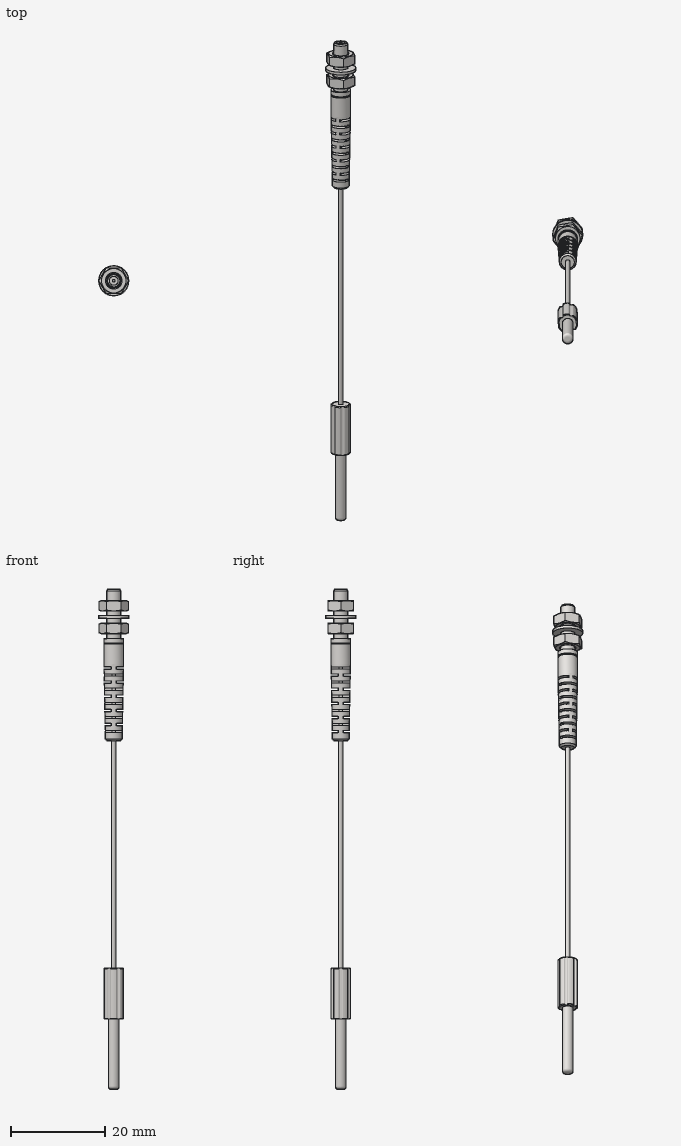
import cadquery as cq
import math

thread_length = 10.5
grip_length = 21.7
cable_length = 48.2
sleeve_length = 10.9
total_length = 106.2

grip_top = -thread_length
grip_bottom = grip_top - grip_length
sleeve_top = grip_bottom - cable_length
sleeve_bottom = sleeve_top - sleeve_length
plug_bottom = -total_length

thread_diameter = 3.0
tip_chamfer_height = 0.35
tip_chamfer_inset = 0.2
lens_diameter = 1.9
lens_recess = 0.1
fibre_diameter = 0.5
fibre_depth = 0.5

grip_diameter = 4.2
relief_start = 5.5
relief_end_diameter = 3.6
relief_end_chamfer = 0.4
ring_groove_start = 0.95
ring_groove_width = 0.25
ring_groove_depth = 0.1
cutter_diameter = grip_diameter + 1

slot_count = 10
slot_pitch = 1.5
slot_width = 0.46
first_slot_start = 6.25
slot_core_diameter = 1.2
web_width = 0.9

cable_diameter = 1.0
sleeve_diameter = 4.2
sleeve_chamfer = 0.2
flute_count = 6
flute_diameter = 0.7
rib_edge_radius = 0.25
plug_diameter = 2.3
plug_end_radius = 0.6

nut_across_flats = 5.5
nut_across_corners = nut_across_flats / math.cos(math.pi / 6)
nut_height = 2.3
nut_face_diameter = 5.2
nut_chamfer_angle = math.radians(25)
nut_countersink_diameter = 3.5
nut_tops = (-2.4, -7.2)
washer_diameter = 6.4
washer_thickness = 0.6
washer_top = -5.6


def cylinder(diameter, top, bottom):
    return cq.Workplane("XY").workplane(offset=bottom).circle(diameter / 2).extrude(top - bottom)


def make_barrel():
    barrel = cylinder(thread_diameter, 0, grip_top)
    barrel = barrel.faces(">Z").chamfer(tip_chamfer_height, tip_chamfer_inset)
    lens = cylinder(lens_diameter, 0, -lens_recess)
    fibre = cylinder(fibre_diameter, 0, -fibre_depth)
    return barrel.cut(lens).cut(fibre)


def make_grip_blank():
    grip_radius = grip_diameter / 2
    end_radius = relief_end_diameter / 2
    return (
        cq.Workplane("XZ")
        .moveTo(0, grip_top)
        .lineTo(grip_radius, grip_top)
        .lineTo(grip_radius, grip_top - relief_start)
        .lineTo(end_radius, grip_bottom)
        .lineTo(0, grip_bottom)
        .close()
        .revolve(360, (0, 0, 0), (0, 1, 0))
        .faces("<Z")
        .chamfer(relief_end_chamfer)
    )


def make_ring_groove():
    top = grip_top - ring_groove_start
    bottom = top - ring_groove_width
    groove_floor = cylinder(grip_diameter - 2 * ring_groove_depth, top, bottom)
    return cylinder(cutter_diameter, top, bottom).cut(groove_floor)


def make_slot(index):
    """Ring-shaped cutter; the web it leaves runs along Y and X in turn."""
    middle = grip_top - first_slot_start - index * slot_pitch
    top = middle + slot_width / 2
    bottom = middle - slot_width / 2
    web_along_y = index % 2 == 0
    web_size = (web_width, grip_diameter) if web_along_y else (grip_diameter, web_width)
    web = cq.Workplane("XY").box(*web_size, slot_width).translate((0, 0, middle))
    core = cylinder(slot_core_diameter, top, bottom)
    return cylinder(cutter_diameter, top, bottom).cut(core).cut(web)


def make_grip():
    grip = make_grip_blank().cut(make_ring_groove())
    for index in range(slot_count):
        grip = grip.cut(make_slot(index))
    return grip


def make_sleeve():
    blank = cylinder(sleeve_diameter, sleeve_top, sleeve_bottom)
    flutes = (
        cq.Workplane("XY")
        .workplane(offset=sleeve_bottom)
        .polarArray(sleeve_diameter / 2, 0, 360, flute_count)
        .circle(flute_diameter / 2)
        .extrude(sleeve_length)
    )
    ribbed_bar = blank.cut(flutes).edges("|Z").fillet(rib_edge_radius)
    chamfered_envelope = blank.edges().chamfer(sleeve_chamfer)
    return ribbed_bar.intersect(chamfered_envelope)


def make_plug():
    plug = cylinder(plug_diameter, sleeve_bottom, plug_bottom)
    return plug.faces("<Z").edges().fillet(plug_end_radius)


def make_probe():
    """Barrel, grip, cable, sleeve and plug as one continuous body."""
    cable = cylinder(cable_diameter, grip_bottom, sleeve_top)
    return make_barrel().union(make_grip()).union(cable).union(make_sleeve()).union(make_plug())


def make_nut(top):
    """Hexagon nut with corners along X, chamfered outside and countersunk at both ends."""
    bottom = top - nut_height
    corner_inset = (nut_across_corners - nut_face_diameter) / 2
    corner_drop = corner_inset * math.tan(nut_chamfer_angle)
    envelope = cylinder(nut_across_corners, top, bottom).edges().chamfer(corner_drop, corner_inset)
    hexagon = cq.Workplane("XY").workplane(offset=bottom).polygon(6, nut_across_corners).extrude(nut_height)
    bored = hexagon.intersect(envelope).cut(cylinder(thread_diameter, top, bottom))
    countersink = (nut_countersink_diameter - thread_diameter) / 2
    bore_edges = cq.selectors.RadiusNthSelector(0)
    return bored.edges(bore_edges).chamfer(countersink)


def make_washer():
    bottom = washer_top - washer_thickness
    bore = cylinder(thread_diameter, washer_top, bottom)
    return cylinder(washer_diameter, washer_top, bottom).cut(bore)


probe = make_probe().solids()
washer = make_washer().solids()
nuts = [make_nut(top).solids() for top in nut_tops]

result = cq.Compound.makeCompound([probe.val(), washer.val(), *[nut.val() for nut in nuts]])